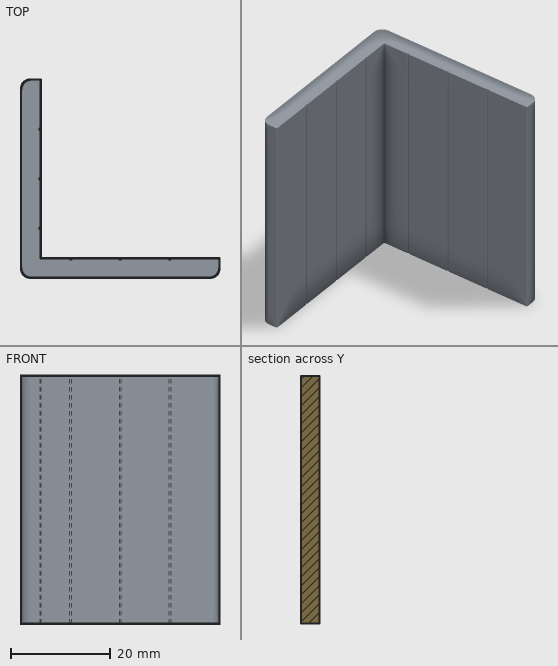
import cadquery as cq

leg_length = 40.0
height = 50.0
thickness = 4.0
outer_radius = 2.0
tip_radius = 0.25

groove_radius = 0.2
groove_count = 3
groove_pitch = leg_length / (groove_count + 1)


def angle_bar():
    """Equal-leg angle with its outer corner at the origin, standing along Z."""
    outline = [
        (0, 0),
        (leg_length, 0),
        (leg_length, thickness),
        (thickness, thickness),
        (thickness, leg_length),
        (0, leg_length),
    ]
    return cq.Workplane("XY").polyline(outline).close().extrude(height)


def round_upright_edges(body, corners, radius):
    """Round the vertical edges that stand on the given corners."""
    for x, y in corners:
        edge = cq.selectors.NearestToPointSelector((x, y, height / 2))
        body = body.edges("|Z").edges(edge).fillet(radius)
    return body


def groove_cutters():
    """Upright rods centred on the inner faces, evenly spaced along each leg."""
    distances = [groove_pitch * (i + 1) for i in range(groove_count)]
    centres = [(d, thickness) for d in distances]
    centres += [(thickness, d) for d in distances]
    return cq.Workplane("XY").pushPoints(centres).circle(groove_radius).extrude(height)


outer_corners = [(0, 0), (leg_length, 0), (0, leg_length)]
inner_tip_corners = [(leg_length, thickness), (thickness, leg_length)]

result = angle_bar()
result = round_upright_edges(result, outer_corners, outer_radius)
result = round_upright_edges(result, inner_tip_corners, tip_radius)
result = result.cut(groove_cutters())